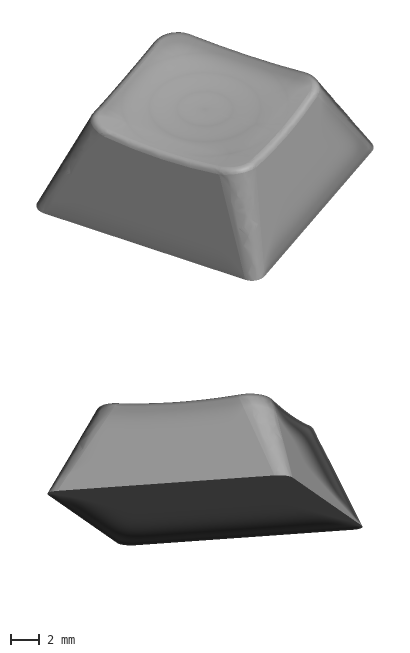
import cadquery as cq

base_side = 18
base_corner_radius = 1.0
taper_height = 7.0
taper_top_side = 12.5
taper_top_corner_radius = 2.0

dish_radius = 40.0
dish_bottom_height = 6.0
rim_fillet_radius = 0.5


def rounded_square(side, corner_radius):
    """Sketch of a centered square with round corners."""
    return cq.Sketch().rect(side, side).vertices().fillet(corner_radius)


def make_tapered_body():
    """Solid lofted from the base outline up to the untrimmed top outline."""
    base = rounded_square(base_side, base_corner_radius)
    top = rounded_square(taper_top_side, taper_top_corner_radius)
    top_location = cq.Location(cq.Vector(0, 0, taper_height))
    return cq.Workplane("XY").placeSketch(base, top.moved(top_location)).loft(ruled=True)


def make_dish():
    """Sphere whose lowest point is the middle of the dish."""
    center_height = dish_bottom_height + dish_radius
    return cq.Workplane("XY").sphere(dish_radius).translate((0, 0, center_height))


dished_body = make_tapered_body().cut(make_dish())

result = dished_body.faces(">Z").edges().fillet(rim_fillet_radius)